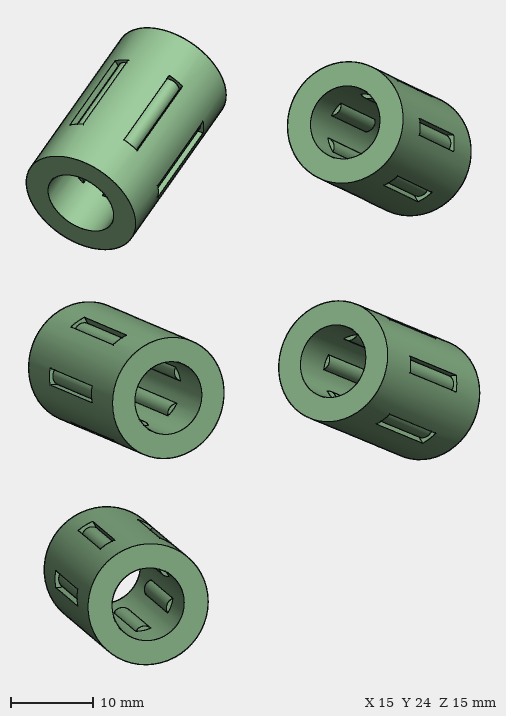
import cadquery as cq
import math

length = 24.0
outer_radius = 7.5
bore_radius = 0.6 * outer_radius

roller_sets = 6
window_length = length / 2
window_width = 2.1
roller_radius = 1.25
outer_roller_pitch_radius = 5.8
inner_roller_pitch_radius = 5.2
inner_roller_lag = 20.0


def cylinder_along_y(radius, height, x=0.0, z=0.0):
    """Cylinder parallel to Y, centred at Y = 0."""
    return (
        cq.Workplane("XZ")
        .center(x, z)
        .circle(radius)
        .extrude(height / 2, both=True)
    )


def roller(pitch_radius, angle):
    """Roller at a polar position, measured from +X towards +Z."""
    x = pitch_radius * math.cos(math.radians(angle))
    z = pitch_radius * math.sin(math.radians(angle))
    return cylinder_along_y(roller_radius, window_length, x, z)


def window(angle):
    """Rectangular cutter from the outer roller axis to beyond the sleeve."""
    cutter = cq.Workplane("XY").box(
        outer_radius, window_length, window_width, centered=(False, True, True)
    )
    cutter = cutter.translate((outer_roller_pitch_radius, 0, 0))
    return cutter.rotate((0, 0, 0), (0, 1, 0), -angle)


sleeve = cylinder_along_y(outer_radius, length).cut(cylinder_along_y(bore_radius, length))

for index in range(roller_sets):
    window_angle = index * 360 / roller_sets
    sleeve = sleeve.cut(window(window_angle))
    sleeve = sleeve.union(roller(outer_roller_pitch_radius, window_angle))
    sleeve = sleeve.union(roller(inner_roller_pitch_radius, window_angle - inner_roller_lag))

result = sleeve